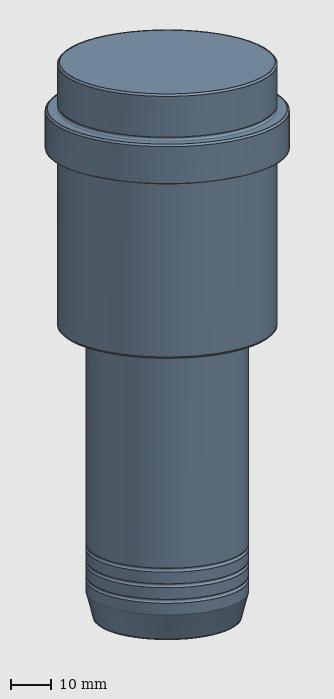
import cadquery as cq
import math

total_height = 143.0
flange_top = 131.0
flange_bottom = 121.0
body_bottom = 75.0

flange_radius = 30.0
body_radius = 27.0
stem_radius = 20.0

edge_chamfer = 0.5
lead_end_chamfer = 0.3

relief_radius = 0.5

neck_depth = 0.5
neck_height = 1.0

lead_length = 7.0
lead_slope = math.tan(math.radians(15.0))
lead_end_radius = stem_radius - lead_length * lead_slope

groove_count = 3
groove_pitch = 4.0
groove_radius = 0.5
lowest_groove_center = 10.5



def add_round_groove(profile, surface_radius, bottom, radius):
    """Continue the outline up through a half-round groove that starts at the given height."""
    groove_floor = (-(surface_radius - radius), bottom + radius)
    groove_top = (-surface_radius, bottom + 2 * radius)
    return profile.threePointArc(groove_floor, groove_top)


def add_lead_in(profile):
    """Flat lower end with a small chamfer, then the taper up to the stem."""
    chamfer_top_radius = lead_end_radius + lead_end_chamfer * lead_slope
    return (
        profile.lineTo(-(lead_end_radius - lead_end_chamfer), 0)
        .lineTo(-chamfer_top_radius, lead_end_chamfer)
        .lineTo(-stem_radius, lead_length)
    )


def add_stem(profile):
    """Stem with its ring grooves and the neck under the body."""
    for index in range(groove_count):
        groove_bottom = lowest_groove_center + index * groove_pitch - groove_radius
        profile = profile.lineTo(-stem_radius, groove_bottom)
        profile = add_round_groove(profile, stem_radius, groove_bottom, groove_radius)
    neck_radius = stem_radius - neck_depth
    neck_bottom = body_bottom - neck_height
    return (
        profile.lineTo(-stem_radius, neck_bottom)
        .lineTo(-neck_radius, neck_bottom)
        .lineTo(-neck_radius, body_bottom)
    )


def add_body(profile):
    """Main cylinder, from its chamfered lower rim to the relief under the flange."""
    relief_bottom = flange_bottom - 2 * relief_radius
    profile = (
        profile.lineTo(-(body_radius - edge_chamfer), body_bottom)
        .lineTo(-body_radius, body_bottom + edge_chamfer)
        .lineTo(-body_radius, relief_bottom)
    )
    return add_round_groove(profile, body_radius, relief_bottom, relief_radius)


def add_flange(profile):
    """Widest disc, chamfered on its upper rim only."""
    return (
        profile.lineTo(-flange_radius, flange_bottom)
        .lineTo(-flange_radius, flange_top - edge_chamfer)
        .lineTo(-(flange_radius - edge_chamfer), flange_top)
        .lineTo(-body_radius, flange_top)
    )


def add_cap(profile):
    """Short cylinder above the flange, rising from a relief to a chamfered rim."""
    profile = add_round_groove(profile, body_radius, flange_top, relief_radius)
    return (
        profile.lineTo(-body_radius, total_height - edge_chamfer)
        .lineTo(-(body_radius - edge_chamfer), total_height)
        .lineTo(0, total_height)
    )


outline = cq.Workplane("XZ").moveTo(0, 0)
for add_section in (add_lead_in, add_stem, add_body, add_flange, add_cap):
    outline = add_section(outline)
result = outline.close().revolve(360, (0, 0, 0), (0, 1, 0))